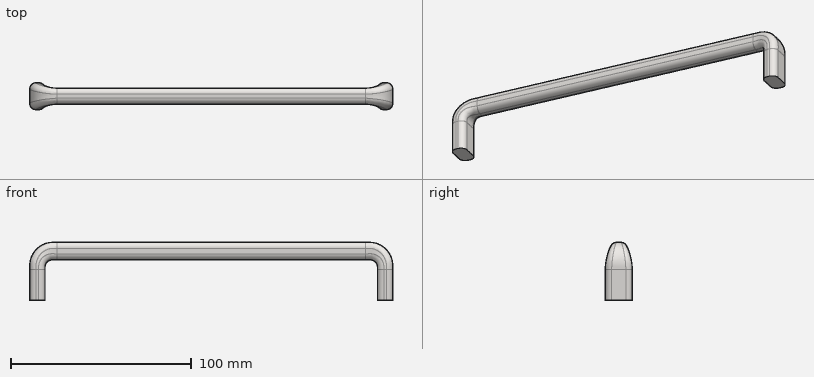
import cadquery as cq
import math

lateral = cq.Vector(0, 1, 0)
along_bar = cq.Vector(1, 0, 0)
upward = cq.Vector(0, 0, 1)

length = 201.0
height = 32.2

leg_thickness = 8.6
leg_width = 15.0
leg_corner_radius = 3.6
leg_height = 17.0

bar_height = 9.8
bar_width = 9.0
bar_corner_radius = 3.5

bend_reach = 15.3
bend_radius = 8.5
bend_sections = 13

leg_x = (length - leg_thickness) / 2
bar_z = height - bar_height / 2
bar_end_x = length / 2 - bend_reach


def section_wire(position, direction, thickness, width, corner_radius):
    """Rounded rectangle square to a direction, its width running along Y."""
    across_bend = lateral.cross(direction)
    plane = cq.Plane(origin=position, xDir=across_bend, normal=direction)
    rectangle = cq.Workplane(plane).rect(thickness, width).val()
    return rectangle.fillet2D(corner_radius, rectangle.Vertices())


def blend(start, end, share):
    """Value lying a share of the way from start to end."""
    return start + (end - start) * share


def bend_centre_line():
    """Line, quarter arc and line from the top of the leg to the end of the bar."""
    return (
        cq.Workplane("XZ")
        .moveTo(-leg_x, leg_height)
        .lineTo(-leg_x, bar_z - bend_radius)
        .radiusArc((-leg_x + bend_radius, bar_z), bend_radius)
        .lineTo(-bar_end_x, bar_z)
        .wire()
        .val()
    )


def make_straight(position, direction, run, thickness, width, corner_radius):
    """Straight stretch of constant section, starting at a position."""
    wire = section_wire(position, direction, thickness, width, corner_radius)
    return cq.Workplane(cq.Solid.extrudeLinear(wire, [], direction * run))


def make_bend():
    """Loft from the leg section to the bar section, easing in and out of both."""
    centre_line = bend_centre_line()
    wires = []
    for index in range(bend_sections):
        travel = index / (bend_sections - 1)
        share = (1 - math.cos(math.pi * travel)) / 2
        wires.append(
            section_wire(
                centre_line.positionAt(travel),
                centre_line.tangentAt(travel),
                blend(leg_thickness, bar_height, share),
                blend(leg_width, bar_width, share),
                blend(leg_corner_radius, bar_corner_radius, share),
            )
        )
    return cq.Workplane(cq.Solid.makeLoft(wires))


leg = make_straight(
    cq.Vector(-leg_x, 0, 0), upward, leg_height, leg_thickness, leg_width, leg_corner_radius
)
half_bar = make_straight(
    cq.Vector(-bar_end_x, 0, bar_z), along_bar, bar_end_x, bar_height, bar_width, bar_corner_radius
)

half_handle = leg.union(make_bend()).union(half_bar)
result = half_handle.union(half_handle.mirror("YZ"))